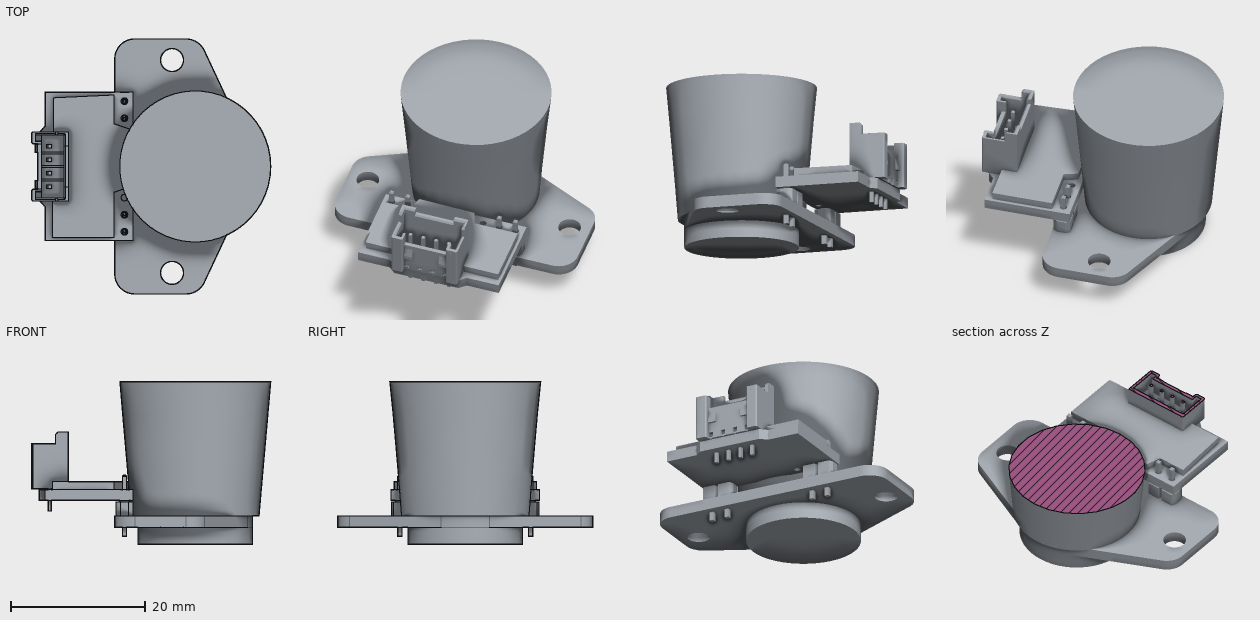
import cadquery as cq
import math

BOSS_RADIUS = 8.55
BOSS_HEIGHT = 2.5
PLATE_THICKNESS = 1.7
PLATE_LEFT = -12.0
PLATE_HALF_WIDTH = 19.0
PLATE_CORNER_RADIUS = 3.0
PLATE_RIGHT_CORNER_X = -1.35
MOUNT_HOLE_DIAMETER = 3.4
MOUNT_HOLE_X = -3.45
MOUNT_HOLE_Y = 15.85
CUP_BASE_RADIUS = 9.5
CUP_TOP_RADIUS = 11.25
TOTAL_HEIGHT = 24.2

PLATE_TOP = BOSS_HEIGHT + PLATE_THICKNESS

BOARD_BOTTOM = 6.55
BOARD_THICKNESS = 1.6
BOARD_LEFT = -22.35
BOARD_RIGHT = -9.27
BOARD_HALF_WIDTH = 11.05
TAB_LEFT = -23.25
TAB_HALF_WIDTH = 5.0
TAB_BASE_HALF_WIDTH = 6.05
COVER_THICKNESS = 1.18
COVER_POINTS = [
    (-21.28, -10.6),
    (-12.1, -10.6),
    (-12.1, -3.85),
    (-10.0, -3.1),
    (-9.8, 5.6),
    (-12.1, 6.35),
    (-12.1, 10.65),
    (-21.1, 10.22),
]

BOARD_TOP = BOARD_BOTTOM + BOARD_THICKNESS

HEADER_PITCH = 2.55
HEADER_OUTER_Y = 9.73
HEADER_X = BOARD_RIGHT - HEADER_PITCH / 2
HEADER_BLOCK_HEIGHT = 2.1
HEADER_CHAMFER_X = 0.7
HEADER_CHAMFER_Y = 0.35
COLLAR_DIAMETER = 1.45
HEADER_PIN_WIDTH = 0.65
HEADER_PIN_BOTTOM = 1.18
HEADER_PIN_TOP = 10.3
HEADER_PIN_TIP = 0.2
BOARD_HOLE_DIAMETER = 1.0

HEADER_INNER_Y = HEADER_OUTER_Y - HEADER_PITCH
HEADER_YS = [-HEADER_OUTER_Y, -HEADER_INNER_Y, HEADER_INNER_Y, HEADER_OUTER_Y]
SPARE_HOLE_Y = -(HEADER_INNER_Y - HEADER_PITCH)

SHELL_LEFT = -24.35
SHELL_RIGHT = -18.9
SHELL_HALF_WIDTH = 5.15
SHELL_GAP = 0.1
CHEEK_TOP = 14.97
POST_TOP = 16.72
POST_LEFT = -20.82
POST_CHAMFER = 0.38
POST_INNER_Y = 3.05
BACK_WALL_TOP = 15.8
FRONT_WALL_TOP = 13.15
FRONT_WALL_LEFT = -23.5
SIDE_WALL = 0.5
BACK_WALL = 0.7
FRONT_WALL = 0.6
FLOOR_TOP = 9.45
ARM_INNER_Y = 3.4
ARM_SLAB = 0.55
ARM_LIP = 0.4
ARM_LIP_CHAMFER = 0.1
ARM_FLOOR_TOP = 9.65
CORNER_CHAMFER = 0.2
MOUTH_CHAMFER = 0.23
LATCH_WIDTH = 1.2
LATCH_OUTER_Y = 3.3
LATCH_REACH = 0.38
LATCH_TOP = 12.45
LATCH_EDGE = 11.2
LATCH_BOTTOM = 10.68
WINDOW_WIDTH = 0.72
WINDOW_BOTTOM = 8.5
WINDOW_TOP = 9.2
WINDOW_SLOT_WIDTH = 0.45
WINDOW_SLOT_DEPTH = 0.15
GROOVE_WIDTH = 0.25
GROOVE_DEPTH = 0.2
MARK_WIDTH = 0.72
MARK_HEIGHT = 0.7
MARK_DEPTH = 0.08
MARK_Y = -4.3
CONTACT_PITCH = 2.0
CONTACT_COUNT = 4
CONTACT_WIDTH = 0.5
CONTACT_X = -21.65
CONTACT_BOTTOM = 4.95
CONTACT_TOP = 13.75
CONTACT_RELIEF = 0.25

SHELL_BOTTOM = BOARD_TOP + SHELL_GAP
CAVITY_LEFT = FRONT_WALL_LEFT + FRONT_WALL
CAVITY_RIGHT = SHELL_RIGHT - BACK_WALL
CAVITY_HALF_WIDTH = SHELL_HALF_WIDTH - SIDE_WALL
CONTACT_YS = [(i - (CONTACT_COUNT - 1) / 2) * CONTACT_PITCH for i in range(CONTACT_COUNT)]
GROOVE_YS = [(a + b) / 2 for a, b in zip(CONTACT_YS, CONTACT_YS[1:])]


def box(x_range, y_range, z_range):
    """Box spanning the given (low, high) ranges."""
    sizes = [high - low for low, high in (x_range, y_range, z_range)]
    corner = (x_range[0], y_range[0], z_range[0])
    return cq.Workplane("XY").box(*sizes, centered=False).translate(corner)


def square_pin(x, y, width, bottom, top):
    half = width / 2
    return box((x - half, x + half), (y - half, y + half), (bottom, top))


def pin_holes(x, ys, width, bottom, top):
    """Square cutters that fit a row of pins."""
    holes = cq.Workplane("XY").workplane(offset=bottom).pushPoints([(x, y) for y in ys])
    return holes.rect(width, width).extrude(top - bottom)


def polar(center, radius, angle):
    return (center[0] + radius * math.cos(angle), center[1] + radius * math.sin(angle))


def make_plate():
    """Plate whose slanted edges are tangent to its corners and to the boss circle."""
    r = PLATE_CORNER_RADIUS
    corner_y = PLATE_HALF_WIDTH - r
    upper = (PLATE_RIGHT_CORNER_X, corner_y)
    lower = (PLATE_RIGHT_CORNER_X, -corner_y)
    tangent = math.atan2(upper[1], upper[0]) - math.acos((BOSS_RADIUS - r) / math.hypot(*upper))
    half_way = (tangent + math.pi / 2) / 2
    axis = (0, 0)
    plate = (
        cq.Workplane("XY").workplane(offset=BOSS_HEIGHT)
        .moveTo(PLATE_LEFT, 0)
        .lineTo(PLATE_LEFT, PLATE_HALF_WIDTH)
        .lineTo(PLATE_RIGHT_CORNER_X, PLATE_HALF_WIDTH)
        .threePointArc(polar(upper, r, half_way), polar(upper, r, tangent))
        .lineTo(*polar(axis, BOSS_RADIUS, tangent))
        .threePointArc((BOSS_RADIUS, 0), polar(axis, BOSS_RADIUS, -tangent))
        .lineTo(*polar(lower, r, -tangent))
        .threePointArc(polar(lower, r, -half_way), (PLATE_RIGHT_CORNER_X, -PLATE_HALF_WIDTH))
        .lineTo(PLATE_LEFT, -PLATE_HALF_WIDTH)
        .close()
        .extrude(PLATE_THICKNESS)
    )
    plate = plate.edges("|Z").edges("<X").fillet(r)
    return (
        plate.faces(">Z").workplane(origin=(0, 0, PLATE_TOP))
        .pushPoints([(MOUNT_HOLE_X, MOUNT_HOLE_Y), (MOUNT_HOLE_X, -MOUNT_HOLE_Y)])
        .hole(MOUNT_HOLE_DIAMETER)
    )


def make_cup():
    """Solid cup that flares from the plate to the top."""
    return (
        cq.Workplane("XZ")
        .moveTo(0, PLATE_TOP)
        .lineTo(CUP_BASE_RADIUS, PLATE_TOP)
        .lineTo(CUP_TOP_RADIUS, TOTAL_HEIGHT)
        .lineTo(0, TOTAL_HEIGHT)
        .close()
        .revolve(360, (0, 0), (0, 1))
    )


def make_sensor(cup):
    boss = cq.Workplane("XY").circle(BOSS_RADIUS).extrude(BOSS_HEIGHT)
    sensor = make_plate().union(boss).union(cup)
    return sensor.cut(pin_holes(HEADER_X, HEADER_YS, HEADER_PIN_WIDTH, BOSS_HEIGHT, PLATE_TOP))


def make_board(cup):
    """Board with a chamfered tab, pin holes and a recess that clears the cup."""
    board = (
        cq.Workplane("XY").workplane(offset=BOARD_BOTTOM)
        .polyline([
            (BOARD_RIGHT, -BOARD_HALF_WIDTH),
            (BOARD_RIGHT, BOARD_HALF_WIDTH),
            (BOARD_LEFT, BOARD_HALF_WIDTH),
            (BOARD_LEFT, TAB_BASE_HALF_WIDTH),
            (TAB_LEFT, TAB_HALF_WIDTH),
            (TAB_LEFT, -TAB_HALF_WIDTH),
            (BOARD_LEFT, -TAB_BASE_HALF_WIDTH),
            (BOARD_LEFT, -BOARD_HALF_WIDTH),
        ])
        .close()
        .extrude(BOARD_THICKNESS)
    )
    round_holes = (
        cq.Workplane("XY").workplane(offset=BOARD_BOTTOM)
        .pushPoints([(HEADER_X, y) for y in HEADER_YS + [SPARE_HOLE_Y]])
        .circle(BOARD_HOLE_DIAMETER / 2)
        .extrude(BOARD_THICKNESS)
    )
    contact_holes = pin_holes(CONTACT_X, CONTACT_YS, CONTACT_WIDTH, BOARD_BOTTOM, BOARD_TOP)
    return board.cut(round_holes).cut(contact_holes).cut(cup)


def make_cover(cup):
    """Thin layer on the board, cut away around the connector and the cup."""
    cover = cq.Workplane("XY").workplane(offset=BOARD_TOP)
    cover = cover.polyline(COVER_POINTS).close().extrude(COVER_THICKNESS)
    connector_space = box(
        (SHELL_LEFT, SHELL_RIGHT),
        (-SHELL_HALF_WIDTH, SHELL_HALF_WIDTH),
        (BOARD_TOP, BOARD_TOP + COVER_THICKNESS),
    )
    return cover.cut(connector_space).cut(cup)


def make_header(y):
    """Eight-sided block with a collar under the board and one long pin."""
    half = HEADER_PITCH / 2
    flat_x = half - HEADER_CHAMFER_X
    flat_y = half - HEADER_CHAMFER_Y
    block_top = PLATE_TOP + HEADER_BLOCK_HEIGHT
    block = (
        cq.Workplane("XY").workplane(offset=PLATE_TOP)
        .polyline([
            (half, -flat_y),
            (half, flat_y),
            (flat_x, half),
            (-flat_x, half),
            (-half, flat_y),
            (-half, -flat_y),
            (-flat_x, -half),
            (flat_x, -half),
        ])
        .close()
        .extrude(HEADER_BLOCK_HEIGHT)
    )
    collar = cq.Workplane("XY").workplane(offset=block_top)
    collar = collar.circle(COLLAR_DIAMETER / 2).extrude(BOARD_BOTTOM - block_top)
    pin = square_pin(0, 0, HEADER_PIN_WIDTH, HEADER_PIN_BOTTOM, HEADER_PIN_TOP)
    pin = pin.faces(">Z").chamfer(HEADER_PIN_TIP)
    return block.union(collar).union(pin).translate((HEADER_X, y, 0))


def make_shell_blank():
    """Solid housing: stepped side profile, lower middle of the back wall, lower front wall."""
    blank = (
        cq.Workplane("XZ").workplane(offset=-SHELL_HALF_WIDTH)
        .moveTo(SHELL_LEFT, SHELL_BOTTOM)
        .lineTo(SHELL_RIGHT, SHELL_BOTTOM)
        .lineTo(SHELL_RIGHT, POST_TOP)
        .lineTo(POST_LEFT + POST_CHAMFER, POST_TOP)
        .lineTo(POST_LEFT, POST_TOP - POST_CHAMFER)
        .lineTo(POST_LEFT, CHEEK_TOP)
        .lineTo(SHELL_LEFT, CHEEK_TOP)
        .close()
        .extrude(2 * SHELL_HALF_WIDTH)
    )
    blank = blank.edges("|Z").edges("<X").chamfer(CORNER_CHAMFER)
    post_gap = (-POST_INNER_Y, POST_INNER_Y)
    arm_gap = (-ARM_INNER_Y, ARM_INNER_Y)
    blank = blank.cut(box((POST_LEFT, SHELL_RIGHT), post_gap, (BACK_WALL_TOP, POST_TOP)))
    blank = blank.cut(box((SHELL_LEFT, FRONT_WALL_LEFT), arm_gap, (SHELL_BOTTOM, CHEEK_TOP)))
    blank = blank.cut(box((FRONT_WALL_LEFT, CAVITY_LEFT), arm_gap, (FRONT_WALL_TOP, CHEEK_TOP)))
    arm_tips = blank.edges("|Z").edges(
        cq.selectors.BoxSelector(
            (SHELL_LEFT - CORNER_CHAMFER, -ARM_INNER_Y - CORNER_CHAMFER, SHELL_BOTTOM),
            (SHELL_LEFT + CORNER_CHAMFER, ARM_INNER_Y + CORNER_CHAMFER, CHEEK_TOP),
        )
    )
    return arm_tips.chamfer(CORNER_CHAMFER)


def make_cavity():
    """Main cavity with its floor grooves and pin recesses, plus a pocket in each arm."""
    width = (-CAVITY_HALF_WIDTH, CAVITY_HALF_WIDTH)
    cavity = box((CAVITY_LEFT, CAVITY_RIGHT), width, (FLOOR_TOP, POST_TOP))
    floor_z = (FLOOR_TOP - GROOVE_DEPTH, FLOOR_TOP)
    for y in GROOVE_YS:
        groove_y = (y - GROOVE_WIDTH / 2, y + GROOVE_WIDTH / 2)
        cavity = cavity.union(box((CAVITY_LEFT, CAVITY_RIGHT), groove_y, floor_z))
    contact_left = CONTACT_X - CONTACT_WIDTH / 2
    for y in CONTACT_YS:
        relief_y = (y - CONTACT_WIDTH / 2, y + CONTACT_WIDTH / 2)
        cavity = cavity.union(box((contact_left - CONTACT_RELIEF, contact_left), relief_y, floor_z))
    pocket_x = (SHELL_LEFT + ARM_SLAB, CAVITY_LEFT)
    for side in (-1, 1):
        lip_y = side * (ARM_INNER_Y + ARM_LIP)
        pocket_y = sorted((lip_y, side * CAVITY_HALF_WIDTH))
        cavity = cavity.union(box(pocket_x, pocket_y, (ARM_FLOOR_TOP, POST_TOP)))
        lead_in = edge_cutter(pocket_x[1] - pocket_x[0], CHEEK_TOP, ARM_LIP_CHAMFER)
        cavity = cavity.union(lead_in.translate((pocket_x[0], lip_y, 0)))
    return cavity


def edge_cutter(length, top, size):
    """Diamond bar along X that chamfers a horizontal edge lying at height top."""
    section = [(-size, top), (0, top - size), (size, top), (0, top + size)]
    return cq.Workplane("YZ").polyline(section).close().extrude(length)


def make_mouth():
    """Lead-in chamfers along the inner top edges of the posts, arms and back wall."""
    mouth = (
        cq.Workplane("XY").workplane(offset=POST_TOP - MOUTH_CHAMFER)
        .center((POST_LEFT + CAVITY_RIGHT) / 2, 0)
        .rect(CAVITY_RIGHT - POST_LEFT, 2 * CAVITY_HALF_WIDTH)
        .extrude(MOUTH_CHAMFER, taper=-45)
    )
    arm_left = SHELL_LEFT + ARM_SLAB
    arm_edge = edge_cutter(POST_LEFT - arm_left, CHEEK_TOP, MOUTH_CHAMFER)
    for side in (-1, 1):
        mouth = mouth.union(arm_edge.translate((arm_left, side * CAVITY_HALF_WIDTH, 0)))
    back_edge = edge_cutter(2 * POST_INNER_Y, BACK_WALL_TOP, MOUTH_CHAMFER).rotate((0, 0, 0), (0, 0, 1), 90)
    return mouth.union(back_edge.translate((CAVITY_RIGHT, -POST_INNER_Y, 0)))


def make_latch(y):
    """Wedge-shaped latch on the outside of the front wall, centred at y."""
    return (
        cq.Workplane("XZ").workplane(offset=-y - LATCH_WIDTH / 2)
        .moveTo(FRONT_WALL_LEFT, LATCH_TOP)
        .lineTo(FRONT_WALL_LEFT - LATCH_REACH, LATCH_EDGE)
        .lineTo(FRONT_WALL_LEFT - LATCH_REACH, LATCH_BOTTOM)
        .lineTo(FRONT_WALL_LEFT, LATCH_BOTTOM)
        .close()
        .extrude(LATCH_WIDTH)
    )


def make_window(y):
    """Opening low in the front wall, with a narrower shallow slot below it."""
    wall_x = (FRONT_WALL_LEFT, CAVITY_LEFT)
    window_y = (y - WINDOW_WIDTH / 2, y + WINDOW_WIDTH / 2)
    slot_y = (y - WINDOW_SLOT_WIDTH / 2, y + WINDOW_SLOT_WIDTH / 2)
    window = box(wall_x, window_y, (WINDOW_BOTTOM, WINDOW_TOP))
    slot_x = (FRONT_WALL_LEFT, FRONT_WALL_LEFT + WINDOW_SLOT_DEPTH)
    return window.union(box(slot_x, slot_y, (SHELL_BOTTOM, WINDOW_BOTTOM)))


def make_first_pin_mark():
    """Shallow triangle at the top of one arm."""
    half = MARK_WIDTH / 2
    mark = cq.Workplane("YZ").workplane(offset=SHELL_LEFT)
    mark = mark.polyline([
        (MARK_Y - half, CHEEK_TOP),
        (MARK_Y + half, CHEEK_TOP),
        (MARK_Y, CHEEK_TOP - MARK_HEIGHT),
    ])
    return mark.close().extrude(MARK_DEPTH)


def make_connector():
    """Housing and its four through pins as one piece."""
    connector = make_shell_blank().cut(make_cavity()).cut(make_mouth())
    connector = connector.cut(make_first_pin_mark())
    for side in (-1, 1):
        connector = connector.union(make_latch(side * (LATCH_OUTER_Y - LATCH_WIDTH / 2)))
    for y in CONTACT_YS:
        connector = connector.cut(make_window(y))
        connector = connector.union(square_pin(CONTACT_X, y, CONTACT_WIDTH, CONTACT_BOTTOM, CONTACT_TOP))
    return connector


cup = make_cup()
sensor = make_sensor(cup)
board = make_board(cup)
cover = make_cover(cup)
connector = make_connector()
headers = [make_header(y) for y in HEADER_YS]

result = cq.Compound.makeCompound([
    sensor.solids().val(),
    board.solids().val(),
    cover.solids().val(),
    connector.solids().val(),
    *[header.solids().val() for header in headers],
])